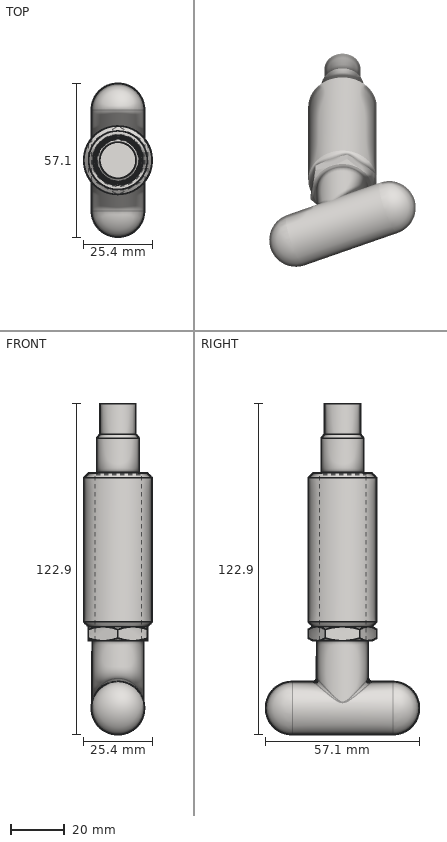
import cadquery as cq
import math

total_height = 122.9
nut_bottom = 34.9
nut_thickness = 5.2
sleeve_top = 97.2
tip_bottom = 111.5

bar_diameter = 19.8
bar_length = 57.1
stem_diameter = 19.3
stem_fillet = 1.2
joint_clearance = 0.1

nut_sides = 6
nut_across_flats = 22.1
nut_chamfer_angle = 30.0

sleeve_diameter = 25.4
sleeve_chamfer = 1.8
countersink_diameter = 18.4

tip_diameter = 13.4
collar_diameter = 15.8
collar_foot_diameter = 15.2
shank_diameter = 17.2
shank_chamfer = 0.4
collar_top_chamfer_height = 1.5

bar_radius = bar_diameter / 2
bar_axis_height = bar_radius
nut_top = nut_bottom + nut_thickness
nut_across_corners = nut_across_flats / math.cos(math.pi / nut_sides)
collar_top_chamfer_width = (collar_diameter - tip_diameter) / 2
collar_foot_chamfer = (collar_diameter - collar_foot_diameter) / 2


def cylinder(diameter, bottom, top):
    """Upright cylinder on the common axis."""
    return cq.Workplane("XY").workplane(offset=bottom).circle(diameter / 2).extrude(top - bottom)


def make_handle():
    """Round-ended cross bar along Y with a filleted upright stem."""
    half_straight = bar_length / 2 - bar_radius
    bar = (
        cq.Workplane("XZ", origin=(0, half_straight, bar_axis_height))
        .circle(bar_radius)
        .extrude(2 * half_straight)
    )
    stem = cylinder(stem_diameter, bar_axis_height, nut_bottom)
    body = bar.union(stem)
    joint = cq.selectors.BoxSelector(
        (-bar_radius, -bar_radius, bar_axis_height + joint_clearance),
        (bar_radius, bar_radius, bar_diameter + joint_clearance),
        boundingbox=True,
    )
    body = body.edges(joint).fillet(stem_fillet)
    for side in (-1, 1):
        ball = cq.Workplane("XY", origin=(0, side * half_straight, bar_axis_height)).sphere(bar_radius)
        body = body.union(ball)
    return body


def make_nut():
    """Hex nut with flats facing X and both end faces chamfered at the corners."""
    corner_radius = nut_across_corners / 2
    flat_radius = nut_across_flats / 2
    chamfer_height = (corner_radius - flat_radius) * math.tan(math.radians(nut_chamfer_angle))
    hexagon = (
        cq.Workplane("XY")
        .workplane(offset=nut_bottom)
        .transformed(rotate=(0, 0, 90))
        .polygon(nut_sides, nut_across_corners)
        .extrude(nut_thickness)
    )
    envelope = (
        cq.Workplane("XZ")
        .moveTo(0, nut_bottom)
        .lineTo(flat_radius, nut_bottom)
        .lineTo(corner_radius, nut_bottom + chamfer_height)
        .lineTo(corner_radius, nut_top - chamfer_height)
        .lineTo(flat_radius, nut_top)
        .lineTo(0, nut_top)
        .close()
        .revolve(360, (0, 0, 0), (0, 1, 0))
    )
    return hexagon.intersect(envelope).cut(cylinder(shank_diameter, nut_bottom, nut_top))


def make_sleeve():
    """Chamfered tube with a countersunk mouth around the pin shank."""
    body = cylinder(sleeve_diameter, nut_top, sleeve_top)
    body = body.faces("<Z or >Z").chamfer(sleeve_chamfer)
    body = body.cut(cylinder(shank_diameter, nut_top, sleeve_top))
    countersink_depth = (countersink_diameter - shank_diameter) / 2
    countersink = cq.Workplane(
        cq.Solid.makeCone(
            shank_diameter / 2,
            countersink_diameter / 2,
            countersink_depth,
            pnt=cq.Vector(0, 0, sleeve_top - countersink_depth),
        )
    )
    return body.cut(countersink)


def make_pin():
    """Stepped pin: slim tip, chamfered collar, and a wider shank flush with the sleeve top."""
    shank = cylinder(shank_diameter, nut_bottom, sleeve_top).faces(">Z").chamfer(shank_chamfer)
    collar = (
        cylinder(collar_diameter, sleeve_top, tip_bottom)
        .faces(">Z").chamfer(collar_top_chamfer_height, collar_top_chamfer_width)
        .faces("<Z").chamfer(collar_foot_chamfer)
    )
    tip = cylinder(tip_diameter, tip_bottom, total_height)
    return shank.union(collar).union(tip)


handle = make_handle()
nut = make_nut()
sleeve = make_sleeve()
pin = make_pin()

result = cq.Compound.makeCompound([handle.val(), nut.val(), sleeve.val(), pin.val()])